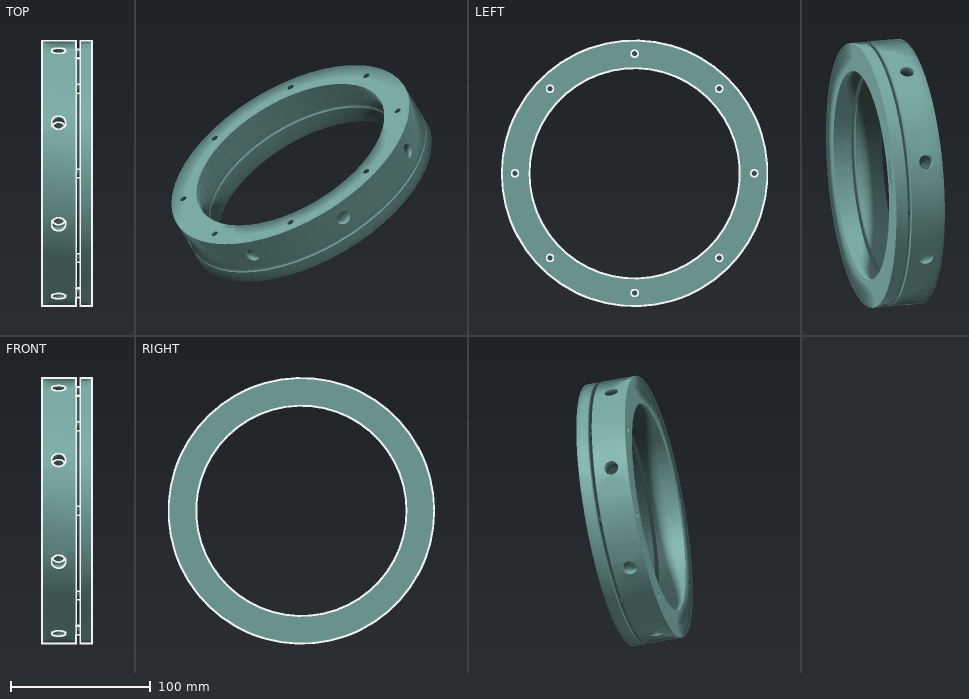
import cadquery as cq
import math

OUTER_RADIUS = 95.0
BORE_RADIUS = 75.0
RING_WIDTH = 36.0

GROOVE_WIDTH = 2.8
GROOVE_DEPTH = 13.0
RIM_GROOVE_X = 24.5
BORE_GROOVE_X = 19.8

PIN_COUNT = 8
PIN_CIRCLE_RADIUS = 85.5
PIN_DIAMETER = 6.3

AXIAL_HOLE_DIAMETER = 5.0
AXIAL_HOLE_DEPTH = 15.2

RADIAL_HOLE_DIAMETER = 10.0
RADIAL_HOLE_DEPTH = 11.4
DRILL_POINT_ANGLE = 118.0
RADIAL_HOLE_X = 12.0

PIN_PITCH = 360.0 / PIN_COUNT

ORIGIN = cq.Vector(0, 0, 0)
X_AXIS = cq.Vector(1, 0, 0)


def annulus(start_x, width, outer_radius, inner_radius):
    """Flat ring around the X axis."""
    return (
        cq.Workplane("YZ", origin=(start_x, 0, 0))
        .circle(outer_radius)
        .circle(inner_radius)
        .extrude(width)
    )


def axial_cylinder(angle, start_x, length, diameter):
    """Cylinder along X on the pin circle, turned by angle about the X axis."""
    centre = cq.Vector(start_x, PIN_CIRCLE_RADIUS, 0)
    cylinder = cq.Solid.makeCylinder(diameter / 2, length, centre, X_AXIS)
    return cylinder.rotate(ORIGIN, X_AXIS, angle)


def radial_hole(angle):
    """Cutter for one drilled hole: its half section revolved about the hole axis."""
    hole_radius = RADIAL_HOLE_DIAMETER / 2
    shoulder = OUTER_RADIUS - RADIAL_HOLE_DEPTH
    tip = shoulder - hole_radius / math.tan(math.radians(DRILL_POINT_ANGLE / 2))
    mouth = OUTER_RADIUS + hole_radius
    cutter = (
        cq.Workplane("XY", origin=(RADIAL_HOLE_X, 0, 0))
        .moveTo(0, tip)
        .lineTo(hole_radius, shoulder)
        .lineTo(hole_radius, mouth)
        .lineTo(0, mouth)
        .close()
        .revolve(360, (0, 0), (0, 1))
    )
    return cutter.rotate((0, 0, 0), (1, 0, 0), angle)


def make_ring():
    ring = annulus(0, RING_WIDTH, OUTER_RADIUS, BORE_RADIUS)

    rim_groove_floor = OUTER_RADIUS - GROOVE_DEPTH
    ring = ring.cut(annulus(RIM_GROOVE_X, GROOVE_WIDTH, OUTER_RADIUS, rim_groove_floor))

    bore_groove_floor = BORE_RADIUS + GROOVE_DEPTH
    ring = ring.cut(annulus(BORE_GROOVE_X, GROOVE_WIDTH, bore_groove_floor, BORE_RADIUS))

    for index in range(PIN_COUNT):
        axial_hole = axial_cylinder(index * PIN_PITCH, 0, AXIAL_HOLE_DEPTH, AXIAL_HOLE_DIAMETER)
        ring = ring.cut(cq.Workplane(axial_hole))
        ring = ring.cut(radial_hole((index + 0.5) * PIN_PITCH))
    return ring


def make_pin(index):
    """Spacer pin filling the width of the rim groove."""
    return axial_cylinder(index * PIN_PITCH, RIM_GROOVE_X, GROOVE_WIDTH, PIN_DIAMETER)


ring = make_ring()
pins = [make_pin(index) for index in range(PIN_COUNT)]

result = cq.Compound.makeCompound([ring.val(), *pins])